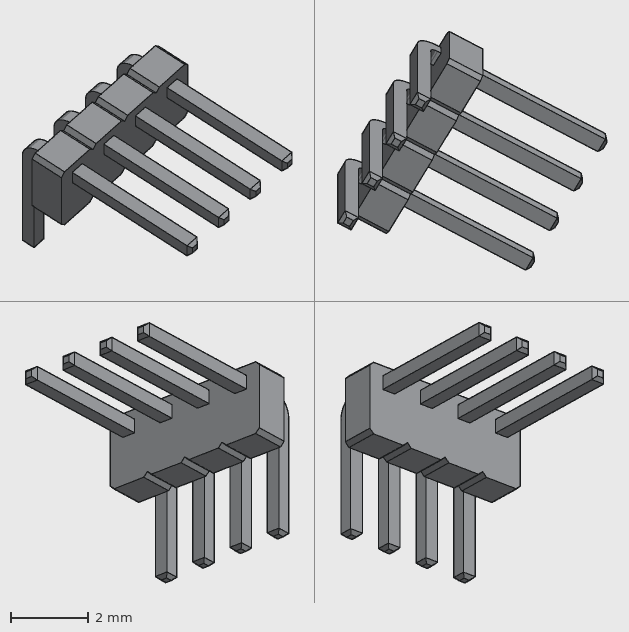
import cadquery as cq

length_x = 5.7
width_y = 5.08
height_z = 4.35

pin_count = 4
pitch = width_y / pin_count
housing_depth = 1.0
housing_height = 2.1
housing_start_x = 0.7
cell_chamfer = 0.125

pin_size = 0.4
pin_top_drop = 0.295
bend_inner_radius = 0.2
bend_outer_radius = bend_inner_radius + pin_size
tip_chamfer = 0.1

pin_top_z = height_z - pin_top_drop
housing_mid_x = housing_start_x + housing_depth / 2
housing_mid_z = height_z - housing_height / 2


def make_cell(y):
    """Housing block for one pin, with its four edges along X chamfered."""
    return (
        cq.Workplane("XY")
        .box(housing_depth, pitch, housing_height)
        .edges("|X")
        .chamfer(cell_chamfer)
        .translate((housing_mid_x, y, housing_mid_z))
    )


def make_pin(y):
    """Bent pin with a vertical leg, a horizontal leg and a chamfered tip on each."""
    bent_bar = (
        cq.Workplane("XZ")
        .lineTo(0, pin_top_z)
        .lineTo(length_x, pin_top_z)
        .lineTo(length_x, pin_top_z - pin_size)
        .lineTo(pin_size, pin_top_z - pin_size)
        .lineTo(pin_size, 0)
        .close()
        .extrude(pin_size / 2, both=True)
    )
    outer_corner = cq.selectors.NearestToPointSelector((0, 0, pin_top_z))
    inner_corner = cq.selectors.NearestToPointSelector((pin_size, 0, pin_top_z - pin_size))
    rounded_bar = bent_bar.edges("|Y").edges(outer_corner).fillet(bend_outer_radius)
    rounded_bar = rounded_bar.edges("|Y").edges(inner_corner).fillet(bend_inner_radius)
    tipped_bar = rounded_bar.faces(">X or <Z").edges().chamfer(tip_chamfer)
    return tipped_bar.translate((0, y, 0))


result = cq.Workplane("XY")
for index in range(pin_count):
    pin_y = (index - (pin_count - 1) / 2) * pitch
    result = result.union(make_cell(pin_y)).union(make_pin(pin_y))